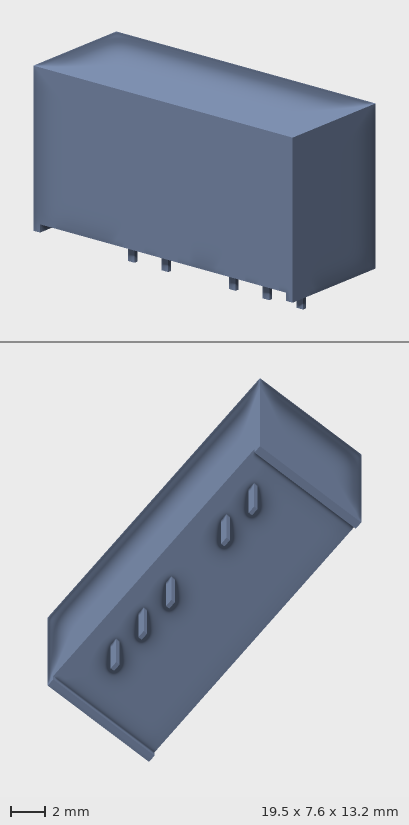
import cadquery as cq

case_length = 19.5
case_width = 7.6
case_height = 10.2
foot_length = 0.5
foot_height = 0.5

total_height = 13.25
pin_width = 0.5
pin_thickness = 0.25
pin_pitch = 2.54
first_pin_x = -7.33
pin_row_inset = 1.46
pin_slots = (0, 1, 3, 4, 5)

pin_row_y = case_width / 2 - pin_row_inset
pin_tip_z = case_height - total_height


def make_case():
    """Block with a shallow recess underneath that leaves a foot at each end."""
    block = cq.Workplane("XY").box(
        case_length, case_width, case_height, centered=(True, True, False)
    )
    recess = cq.Workplane("XY").box(
        case_length - 2 * foot_length, case_width, foot_height, centered=(True, True, False)
    )
    return block.cut(recess)


def make_pin(slot):
    """Flat pin hanging from the recessed underside of the case."""
    pin = cq.Workplane("XY").box(
        pin_width, pin_thickness, foot_height - pin_tip_z, centered=(True, True, False)
    )
    return pin.translate((first_pin_x + slot * pin_pitch, pin_row_y, pin_tip_z))


result = make_case()
for slot in pin_slots:
    result = result.union(make_pin(slot))